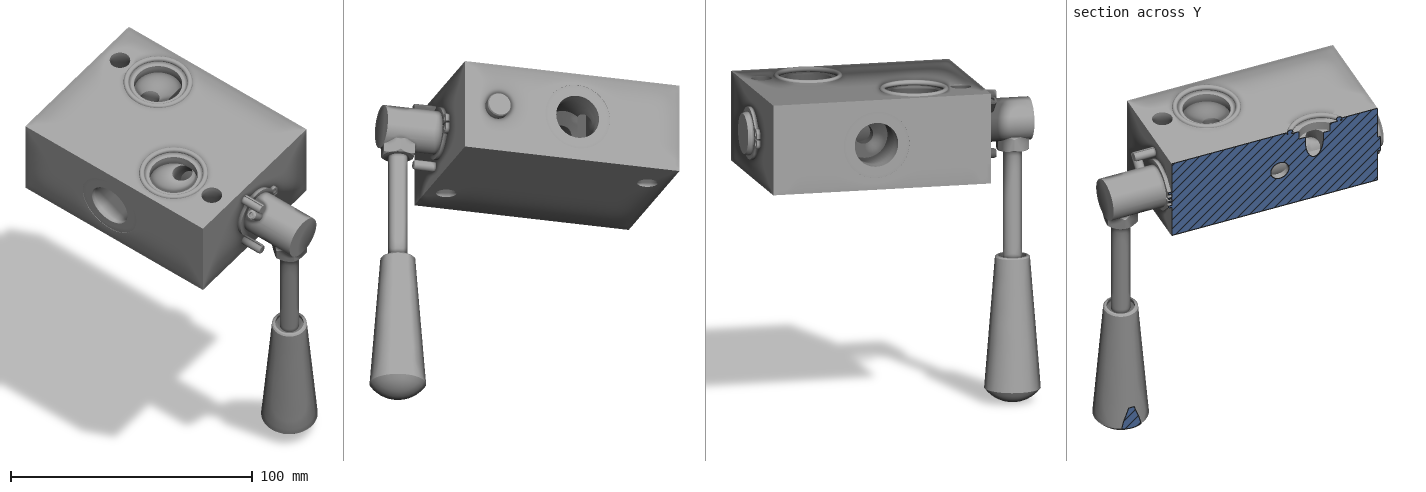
import cadquery as cq
import math


BLOCK_X = 93.0
BLOCK_Y = 70.0
BLOCK_Z = 38.0
HALF_X = BLOCK_X / 2
HALF_Y = BLOCK_Y / 2
HALF_Z = BLOCK_Z / 2
OVERALL_Z = 139.6

MOUNT_DIA = 8.5
MOUNT_X = 38.0
PORT_OFFSET = 18.0

SEAL_SEAT_DIA = 28.5
SEAL_SEAT_DEPTH = 1.1
SEAL_INNER_DIA = 24.2
SEAL_SECTION_DIA = 2.2
SEAL_HEIGHT = 1.0
PORT_DIA = 20.0
PORT_FLOOR_Z = 14.0

PASSAGE_DIA = 8.0
PASSAGE_Y = 12.1
PASSAGE_TILT = 27.0
PASSAGE_LENGTH = 11.2

SIDE_PORT_X = -2.4
SIDE_PORT_DIA = 18.5
SIDE_PORT_DEPTH = 18.1
SIDE_FACE_DIA = 28.0
SIDE_FACE_DEPTH = 0.1
DRILL_POINT_ANGLE = 118.0

PLUG_X = 32.7
PLUG_DIA = 10.0
PLUG_HEIGHT = 4.0
PLUG_CHAMFER = 0.7

SHAFT_DIA = 18.0
SHAFT_LEFT = 3.9
SHAFT_RIGHT = 25.3
SHAFT_END_CHAMFER_LENGTH = 1.3
SHAFT_END_CHAMFER_DEPTH = 0.5
GROOVE_DIA = 16.6
RING_THICKNESS = 1.5
RING_OUTER_DIA = 21.9
RING_SHIFT = 0.5
LUG_RADIUS = 2.1
LUG_HOLE_DIA = 2.0
LUG_REACH = 11.5
LUG_SPREAD = 2.1
LUG_ROOT_REACH = 7.8
LUG_ROOT_SPREAD = 7.0
RING_GAP = 0.8

PIN_DIA = 4.0
STOP_LENGTH = 9.2
STOP_RADIUS = 14.2
STOP_ANGLE = 61.0
STOP_CHAMFER_LENGTH = 0.8
STOP_CHAMFER_DEPTH = 0.3
STOP_SLIT_WIDTH = 0.5
STOP_SLIT_DEPTH = 0.5
DRIVER_X = 6.7
DRIVER_ANGLE = 45.0
DRIVER_REACH = 15.9
DRIVER_CHAMFER = 0.5
DRIVER_SOCKET_DIA = 2.0
DRIVER_SOCKET_DEPTH = 1.4

LEVER_X = HALF_X + 18.1
ROD_DIA = 8.0
NUT_FLATS = 13.0
NUT_TOP_Z = -6.5
NUT_HEIGHT = 6.1
NUT_TURN = -38.0
NUT_CHAMFER_ANGLE = 40.0
GRIP_TOP_Z = -57.7
GRIP_LENGTH = 56.0
GRIP_TOP_DIA = 14.5
GRIP_TOP_CHAMFER = 0.5
GRIP_RECESS_DIA = 11.7
GRIP_RECESS_DEPTH = 1.4
GRIP_END_DIA = 23.5
GRIP_BOTTOM_Z = HALF_Z + SEAL_HEIGHT - OVERALL_Z


def cylinder(diameter, length, start, direction):
    return cq.Workplane(
        cq.Solid.makeCylinder(diameter / 2, length, cq.Vector(*start), cq.Vector(*direction))
    )


def side_port_profile():
    """Half section of a side port: radius against depth below the block face."""
    point_depth = (SIDE_PORT_DIA - PASSAGE_DIA) / 2 / math.tan(math.radians(DRILL_POINT_ANGLE / 2))
    return [
        (0, 0),
        (SIDE_FACE_DIA / 2, 0),
        (SIDE_FACE_DIA / 2, SIDE_FACE_DEPTH),
        (SIDE_PORT_DIA / 2, SIDE_FACE_DEPTH),
        (SIDE_PORT_DIA / 2, SIDE_PORT_DEPTH),
        (PASSAGE_DIA / 2, SIDE_PORT_DEPTH + point_depth),
        (PASSAGE_DIA / 2, HALF_Y),
        (0, HALF_Y),
    ]


def side_port(side):
    """Stepped side port; side is -1 for the front face and +1 for the back face."""
    points = [(SIDE_PORT_X + radius, side * (HALF_Y - depth)) for radius, depth in side_port_profile()]
    section = cq.Workplane("XY").polyline(points).close()
    return section.revolve(360, (SIDE_PORT_X, 0), (SIDE_PORT_X, 1))


def top_port(side):
    """Cutter for a top port; side is +1 for the left back port and -1 for the right front port."""
    seat_radius = SEAL_SEAT_DIA / 2
    seat_z = HALF_Z - SEAL_SEAT_DEPTH
    points = [
        (0, HALF_Z),
        (seat_radius, HALF_Z),
        (seat_radius, seat_z),
        (PORT_DIA / 2, seat_z),
        (PORT_DIA / 2, PORT_FLOOR_Z),
        (0, PORT_FLOOR_Z),
    ]
    bore = cq.Workplane("XZ").polyline(points).close().revolve(360, (0, 0), (0, 1))
    return bore.translate((-side * PORT_OFFSET, side * PORT_OFFSET, 0))


def make_seal(side):
    section_radius = SEAL_SECTION_DIA / 2
    ring_radius = SEAL_INNER_DIA / 2 + section_radius
    centre_z = HALF_Z + SEAL_HEIGHT - section_radius
    seal = cq.Workplane(cq.Solid.makeTorus(ring_radius, section_radius))
    return seal.translate((-side * PORT_OFFSET, side * PORT_OFFSET, centre_z))


def passage(side):
    """Slanted drilling from a port floor down toward the shaft."""
    tilt = math.radians(PASSAGE_TILT)
    direction = (0, -side * math.sin(tilt), -math.cos(tilt))
    overlap = PASSAGE_DIA / 2
    start = (
        -side * PORT_OFFSET,
        side * (PASSAGE_Y + overlap * math.sin(tilt)),
        PORT_FLOOR_Z + overlap * math.cos(tilt),
    )
    drilling = cylinder(PASSAGE_DIA, overlap + PASSAGE_LENGTH, start, direction)
    below_floor = cq.Workplane("XY").box(
        BLOCK_X, BLOCK_Y, PORT_FLOOR_Z, centered=(True, True, False)
    )
    return drilling.intersect(below_floor)


def port_breakthrough():
    """Opening where the left back port runs over the edge of the back side port."""
    bore_profile = [(0, 0), (SIDE_PORT_DIA / 2, 0)] + side_port_profile()[4:]
    outline = [(SIDE_PORT_X - radius, HALF_Y - depth) for radius, depth in bore_profile]
    over_side_port = cq.Workplane("XY").polyline(outline).close().extrude(PORT_FLOOR_Z)
    port_column = cylinder(PORT_DIA, PORT_FLOOR_Z, (-PORT_OFFSET, PORT_OFFSET, 0), (0, 0, 1))
    return over_side_port.intersect(port_column)


def make_block():
    block = cq.Workplane("XY").box(BLOCK_X, BLOCK_Y, BLOCK_Z)
    for side in (1, -1):
        mount_start = (-side * MOUNT_X, side * PORT_OFFSET, -HALF_Z)
        block = block.cut(cylinder(MOUNT_DIA, BLOCK_Z, mount_start, (0, 0, 1)))
        block = block.cut(top_port(side))
        block = block.cut(passage(side))
        block = block.cut(side_port(side))
    return block.cut(port_breakthrough())


def make_plug():
    plug = cylinder(PLUG_DIA, PLUG_HEIGHT, (PLUG_X, HALF_Y, 0), (0, 1, 0))
    return plug.faces(">Y").chamfer(PLUG_CHAMFER, PLUG_CHAMFER / 2)


def make_shaft():
    left_end = -HALF_X - SHAFT_LEFT
    right_end = HALF_X + SHAFT_RIGHT
    radius = SHAFT_DIA / 2
    groove_radius = GROOVE_DIA / 2
    ring_face = HALF_X + RING_THICKNESS
    points = [
        (left_end, 0),
        (left_end, radius - SHAFT_END_CHAMFER_DEPTH),
        (left_end + SHAFT_END_CHAMFER_LENGTH, radius),
        (-ring_face, radius),
        (-ring_face, groove_radius),
        (-HALF_X, groove_radius),
        (-HALF_X, radius),
        (HALF_X, radius),
        (HALF_X, groove_radius),
        (ring_face, groove_radius),
        (ring_face, radius),
        (right_end, radius),
        (right_end, 0),
    ]
    return cq.Workplane("XY").polyline(points).close().revolve(360, (0, 0), (1, 0))


def make_ring():
    """Left retaining ring, with its lugs toward -Y."""
    plane = cq.Workplane("YZ", origin=(-HALF_X - RING_THICKNESS, 0, 0))
    ring = plane.center(RING_SHIFT, 0).circle(RING_OUTER_DIA / 2).extrude(RING_THICKNESS)
    lug_edge = LUG_SPREAD + LUG_RADIUS
    lug_arm = [
        (-LUG_ROOT_REACH, LUG_ROOT_SPREAD),
        (-LUG_REACH + LUG_RADIUS / 2, lug_edge),
        (-LUG_REACH, lug_edge),
        (-LUG_REACH, -lug_edge),
        (-LUG_REACH + LUG_RADIUS / 2, -lug_edge),
        (-LUG_ROOT_REACH, -LUG_ROOT_SPREAD),
    ]
    ring = ring.union(plane.polyline(lug_arm).close().extrude(RING_THICKNESS))
    lug_tip = plane.center(-LUG_REACH, 0).slot2D(2 * lug_edge, 2 * LUG_RADIUS, 90).extrude(RING_THICKNESS)
    ring = ring.union(lug_tip)
    lug_holes = plane.pushPoints([(-LUG_REACH, LUG_SPREAD), (-LUG_REACH, -LUG_SPREAD)])
    ring = ring.cut(lug_holes.circle(LUG_HOLE_DIA / 2).extrude(RING_THICKNESS))
    gap_length = LUG_REACH + LUG_RADIUS
    gap = plane.center(-gap_length / 2, 0).rect(gap_length, RING_GAP).extrude(RING_THICKNESS)
    bore = plane.circle(GROOVE_DIA / 2).extrude(RING_THICKNESS)
    return ring.cut(gap).cut(bore)


def make_stop_pin(side):
    angle = math.radians(STOP_ANGLE)
    start = (HALF_X, -STOP_RADIUS * math.cos(angle), side * STOP_RADIUS * math.sin(angle))
    pin = cylinder(PIN_DIA, STOP_LENGTH, start, (1, 0, 0))
    pin = pin.faces(">X").edges().chamfer(STOP_CHAMFER_LENGTH, STOP_CHAMFER_DEPTH)
    slit = cq.Workplane("XY").box(STOP_LENGTH, STOP_SLIT_WIDTH, 2 * STOP_SLIT_DEPTH)
    slit_centre = (HALF_X + STOP_LENGTH / 2, start[1], start[2] + PIN_DIA / 2)
    return pin.cut(slit.translate(slit_centre))


def make_driver_pin():
    pin = cq.Workplane("XY").circle(PIN_DIA / 2).extrude(DRIVER_REACH)
    pin = pin.faces(">Z").chamfer(DRIVER_CHAMFER)
    pin = pin.faces(">Z").workplane().hole(DRIVER_SOCKET_DIA, DRIVER_SOCKET_DEPTH)
    pin = pin.rotate((0, 0, 0), (1, 0, 0), DRIVER_ANGLE)
    return pin.translate((HALF_X + DRIVER_X, 0, 0))


def make_nut():
    """Hexagon nut with both ends turned to a cone at the corners."""
    corner_radius = NUT_FLATS / math.sqrt(3)
    flat_radius = NUT_FLATS / 2
    cone_height = (corner_radius - flat_radius) * math.tan(math.radians(NUT_CHAMFER_ANGLE))
    hexagon = cq.Workplane("XY").polygon(6, 2 * corner_radius).extrude(NUT_HEIGHT)
    hexagon = hexagon.rotate((0, 0, 0), (0, 0, 1), NUT_TURN)
    turned = [
        (0, 0),
        (flat_radius, 0),
        (corner_radius, cone_height),
        (corner_radius, NUT_HEIGHT - cone_height),
        (flat_radius, NUT_HEIGHT),
        (0, NUT_HEIGHT),
    ]
    envelope = cq.Workplane("XZ").polyline(turned).close().revolve(360, (0, 0), (0, 1))
    return hexagon.intersect(envelope).translate((LEVER_X, 0, NUT_TOP_Z - NUT_HEIGHT))


def make_grip():
    top_radius = GRIP_TOP_DIA / 2
    end_radius = GRIP_END_DIA / 2
    end_z = GRIP_TOP_Z - GRIP_LENGTH
    dome_height = end_z - GRIP_BOTTOM_Z
    dome_radius = (end_radius**2 + dome_height**2) / (2 * dome_height)
    half_angle = math.asin(end_radius / dome_radius) / 2
    dome_mid = (
        dome_radius * math.sin(half_angle),
        GRIP_BOTTOM_Z + dome_radius * (1 - math.cos(half_angle)),
    )
    grip = (
        cq.Workplane("XZ")
        .moveTo(0, GRIP_TOP_Z)
        .lineTo(top_radius - GRIP_TOP_CHAMFER, GRIP_TOP_Z)
        .lineTo(top_radius, GRIP_TOP_Z - GRIP_TOP_CHAMFER)
        .lineTo(end_radius, end_z)
        .threePointArc(dome_mid, (0, GRIP_BOTTOM_Z))
        .close()
        .revolve(360, (0, 0), (0, 1))
    )
    recess = cylinder(GRIP_RECESS_DIA, GRIP_RECESS_DEPTH, (0, 0, GRIP_TOP_Z), (0, 0, -1))
    return grip.cut(recess).translate((LEVER_X, 0, 0))


def make_lever():
    rod_bottom = GRIP_TOP_Z - GRIP_RECESS_DEPTH
    rod = cylinder(ROD_DIA, NUT_TOP_Z - rod_bottom, (LEVER_X, 0, rod_bottom), (0, 0, 1))
    return rod.union(make_nut()).union(make_grip())


left_ring = make_ring()
right_ring = left_ring.rotate((0, 0, 0), (0, 0, 1), 180)

result = make_block().union(make_shaft())
for piece in (
    make_seal(1),
    make_seal(-1),
    make_plug(),
    left_ring,
    right_ring,
    make_stop_pin(1),
    make_stop_pin(-1),
    make_driver_pin(),
    make_lever(),
):
    result = result.union(piece)